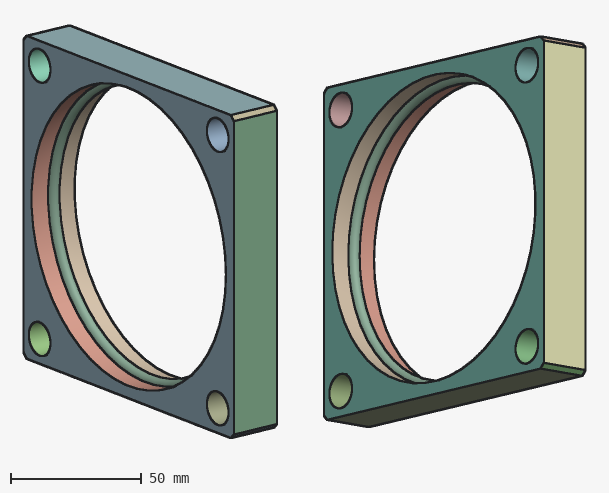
import cadquery as cq

side = 130.0
thickness = 21.0
corner_chamfer = 2.0

bore_diameter = 120.0
ridge_inner_diameter = 115.0

hole_diameter = 13.4
hole_spacing = 110.0


def make_frame():
    frame = cq.Workplane("XY").box(side, thickness, side).edges("|Y").chamfer(corner_chamfer)
    bore = cq.Workplane("XZ").circle(bore_diameter / 2).extrude(thickness, both=True)
    return frame.cut(bore)


def make_ridge():
    """Half-round bead whose diameter lies on the bore wall, backed into the frame to fuse with it."""
    bore_radius = bore_diameter / 2
    crest_radius = ridge_inner_diameter / 2
    bead_radius = bore_radius - crest_radius
    root_overlap = 0.6
    root_radius = bore_radius + root_overlap
    return (
        cq.Workplane("XY")
        .moveTo(root_radius, -bead_radius)
        .lineTo(bore_radius, -bead_radius)
        .radiusArc((crest_radius, 0), bead_radius)
        .radiusArc((bore_radius, bead_radius), bead_radius)
        .lineTo(root_radius, bead_radius)
        .close()
        .revolve(360, (0, 0, 0), (0, 1, 0))
    )


def make_mounting_holes():
    return (
        cq.Workplane("XZ")
        .rect(hole_spacing, hole_spacing, forConstruction=True)
        .vertices()
        .circle(hole_diameter / 2)
        .extrude(thickness, both=True)
    )


result = make_frame().union(make_ridge()).cut(make_mounting_holes())